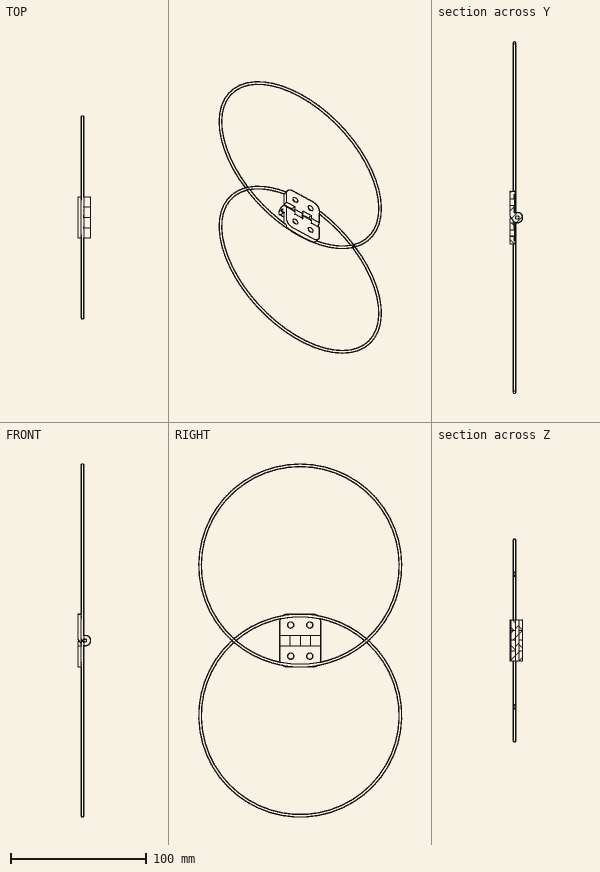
import cadquery as cq
import math

total_height = 260.7
total_depth = 9.5
front_x = -total_depth / 2

ring_diameter = 150.0
wire_diameter = 2.0
wire_radius = wire_diameter / 2
ring_path_radius = (ring_diameter - wire_diameter) / 2
lap_play = 0.03
ring_center_z = (total_height - ring_diameter) / 2

leaf_width = 30.5
leaf_end_z = ring_diameter - total_height / 2
leaf_thickness = 3.5
leaf_back_x = front_x + leaf_thickness
ring_x = leaf_back_x
corner_radius = 6.0
screw_hole_diameter = 4.5
screw_hole_y = 7.0
screw_hole_z = 11.5

knuckle_count = 4
knuckle_width = leaf_width / knuckle_count
knuckle_radius = 4.0
knuckle_x = total_depth / 2 - knuckle_radius
pin_diameter = 2.0
notch_z = 4.0
bevel_front_z = 1.0
bevel_end_z = -1.8
bevel_end_x = knuckle_x - math.sqrt(knuckle_radius**2 - bevel_end_z**2)


def box_between(x_range, y_range, z_range):
    sizes = [high - low for low, high in (x_range, y_range, z_range)]
    corner = (x_range[0], y_range[0], z_range[0])
    return cq.Workplane("XY").box(*sizes, centered=False).translate(corner)


def cylinder_on_axis(diameter, start_y, length):
    """Cylinder around the hinge axis, from start_y toward +Y."""
    plane = cq.Workplane("XZ", origin=(knuckle_x, start_y, 0))
    return plane.circle(diameter / 2).extrude(-length)


def make_plate():
    """Upper leaf plate with two rounded corners and two screw holes."""
    plate = box_between(
        (front_x, leaf_back_x), (-leaf_width / 2, leaf_width / 2), (notch_z, leaf_end_z)
    )
    plate = plate.edges("|X and >Z").fillet(corner_radius)
    holes = (
        cq.Workplane("YZ", origin=(front_x, 0, 0))
        .pushPoints([(-screw_hole_y, screw_hole_z), (screw_hole_y, screw_hole_z)])
        .circle(screw_hole_diameter / 2)
        .extrude(leaf_thickness)
    )
    return plate.cut(holes)


def make_knuckle(start_y):
    """Knuckle barrel and the beveled web that joins it to the plate."""
    web = (
        cq.Workplane("XZ", origin=(0, start_y, 0))
        .moveTo(front_x, notch_z)
        .lineTo(front_x, bevel_front_z)
        .lineTo(bevel_end_x, bevel_end_z)
        .lineTo(knuckle_x, 0)
        .lineTo(leaf_back_x, notch_z)
        .close()
        .extrude(-knuckle_width)
    )
    return web.union(cylinder_on_axis(2 * knuckle_radius, start_y, knuckle_width))


def make_leaf():
    """Upper leaf: its knuckles fill every second place, starting at the -Y side."""
    leaf = make_plate()
    for index in range(0, knuckle_count, 2):
        leaf = leaf.union(make_knuckle(-leaf_width / 2 + index * knuckle_width))
    return leaf.cut(cylinder_on_axis(pin_diameter, -leaf_width / 2, leaf_width))


def make_ring(center_z):
    ring = cq.Solid.makeTorus(
        ring_path_radius, wire_radius, cq.Vector(ring_x, 0, center_z), cq.Vector(1, 0, 0)
    )
    return cq.Workplane(obj=ring)


def make_lap_channel(center_z, start_x, depth):
    """Flat band along a ring, slightly wider than the wire, extruded from start_x by depth."""
    plane = cq.Workplane("YZ", origin=(start_x, 0, center_z))
    half_width = wire_radius + lap_play
    return plane.circle(ring_path_radius + half_width).circle(ring_path_radius - half_width).extrude(depth)


def turn_over(body):
    """Half turn about the X axis, which carries one leaf to the place of the other."""
    return body.rotate((0, 0, 0), (1, 0, 0), 180)


upper_ring = make_ring(ring_center_z)
lower_ring = make_ring(-ring_center_z)

upper_ring = upper_ring.cut(make_lap_channel(-ring_center_z, ring_x, -wire_diameter))
lower_ring = lower_ring.cut(make_lap_channel(ring_center_z, ring_x, wire_diameter))

upper_leaf = make_leaf().union(lower_ring)
lower_leaf = turn_over(make_leaf()).union(upper_ring)
pin = cylinder_on_axis(pin_diameter, -leaf_width / 2, leaf_width)

result = cq.Compound.makeCompound([*upper_leaf.vals(), *lower_leaf.vals(), pin.val()])